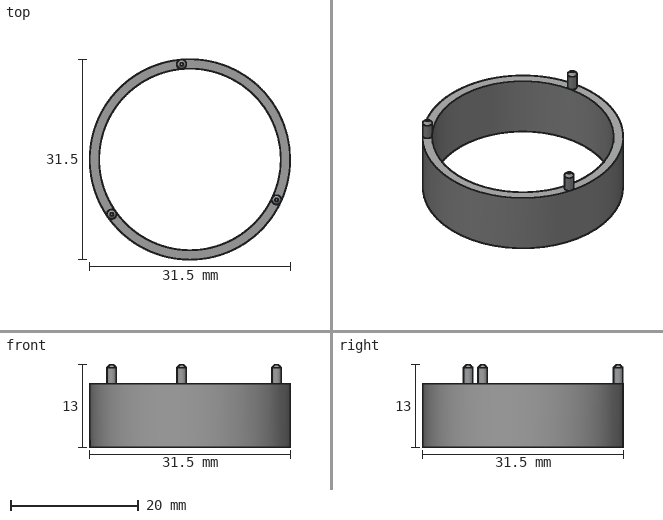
import cadquery as cq
import math

ring_outer_diameter = 31.48
wall = 1.5
ring_height = 10.0

pin_diameter = wall
pin_height = 3.0
tip_height = 0.5
tip_diameter = 0.5
pin_count = 3
pin_spacing_angle = 360.0 / pin_count
first_pin_angle = 95.0
pin_circle_radius = (ring_outer_diameter - wall) / 2


def make_ring():
    """Plain tube resting on Z = 0."""
    outer_radius = ring_outer_diameter / 2
    return cq.Workplane("XY").circle(outer_radius).circle(outer_radius - wall).extrude(ring_height)


def make_pin(angle):
    """Pin with a conical tip, as wide as the wall and centred on it, standing on the rim."""
    x = pin_circle_radius * math.cos(math.radians(angle))
    y = pin_circle_radius * math.sin(math.radians(angle))
    pin_radius = pin_diameter / 2
    tip_radius = tip_diameter / 2
    shoulder_height = pin_height - tip_height
    profile = (
        cq.Workplane("XZ")
        .lineTo(pin_radius, 0)
        .lineTo(pin_radius, shoulder_height)
        .lineTo(tip_radius, pin_height)
        .lineTo(0, pin_height)
        .close()
    )
    pin = profile.revolve(axisStart=(0, 0, 0), axisEnd=(0, 1, 0))
    return pin.translate((x, y, ring_height))


result = make_ring()
for index in range(pin_count):
    result = result.union(make_pin(first_pin_angle + index * pin_spacing_angle))